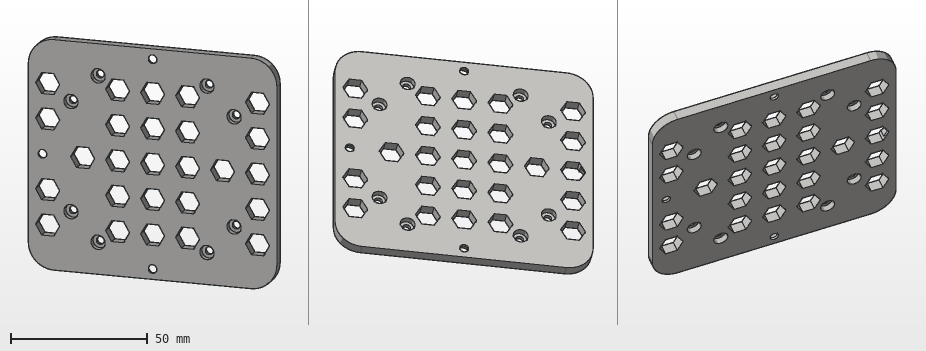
import cadquery as cq

plate_width = 96.0
plate_height = 88.0
plate_thickness = 4.0
corner_radius = 10.0

outer_column_offset = 40.5
hex_pitch = outer_column_offset / 3
hex_across_corners = 9.2
hex_rows_by_column = {
    -3: (-2, -1, 1, 2),
    -2: (0,),
    -1: (-2, -1, 0, 1, 2),
    0: (-2, -1, 0, 1, 2),
    1: (-2, -1, 0, 1, 2),
    2: (0,),
    3: (-2, -1, 0, 1, 2),
}

edge_hole_diameter = 3.3
edge_counterbore_diameter = 6.0
edge_web_thickness = 1.0
end_hole_offset = 40.0
side_hole_offset = 42.5

screw_hole_diameter = 3.0
screw_counterbore_diameter = 5.5
screw_counterbore_depth = 2.5
screw_positions = [(21.0, 31.8), (31.5, 21.0)]


def make_plate():
    """Rounded rectangular plate centred on the origin."""
    plate = cq.Workplane("XY").box(plate_width, plate_thickness, plate_height)
    return plate.edges("|Y").fillet(corner_radius)


def depth_plane(depth_from_front=0.0):
    """Sketch plane this far behind the front (-Y) face: local x is +X, local y is +Z."""
    return cq.Workplane("XZ", origin=(0, depth_from_front - plate_thickness / 2, 0))


def cylinders(centers, diameter, start, end):
    """Cylinders along Y between two depths behind the front face."""
    circles = depth_plane(start).pushPoints(centers).circle(diameter / 2)
    return circles.extrude(start - end)


def cut_hexagons(plate):
    centers = [
        (column * hex_pitch, row * hex_pitch)
        for column, rows in hex_rows_by_column.items()
        for row in rows
    ]
    hexagons = depth_plane().pushPoints(centers).polygon(6, hex_across_corners)
    return plate.cut(hexagons.extrude(-plate_thickness))


def cut_edge_holes(plate):
    centers = [
        (0, end_hole_offset),
        (0, -end_hole_offset),
        (side_hole_offset, 0),
        (-side_hole_offset, 0),
    ]
    holes = cylinders(centers, edge_hole_diameter, 0, plate_thickness)
    counterbores = cylinders(
        centers, edge_counterbore_diameter, edge_web_thickness, plate_thickness
    )
    return plate.cut(holes).cut(counterbores)


def cut_screw_holes(plate):
    centers = [
        (x_side * x, z_side * z)
        for x, z in screw_positions
        for x_side in (-1, 1)
        for z_side in (-1, 1)
    ]
    holes = cylinders(centers, screw_hole_diameter, 0, plate_thickness)
    counterbores = cylinders(centers, screw_counterbore_diameter, 0, screw_counterbore_depth)
    return plate.cut(holes).cut(counterbores)


plate = make_plate()
plate = cut_hexagons(plate)
plate = cut_edge_holes(plate)
result = cut_screw_holes(plate)